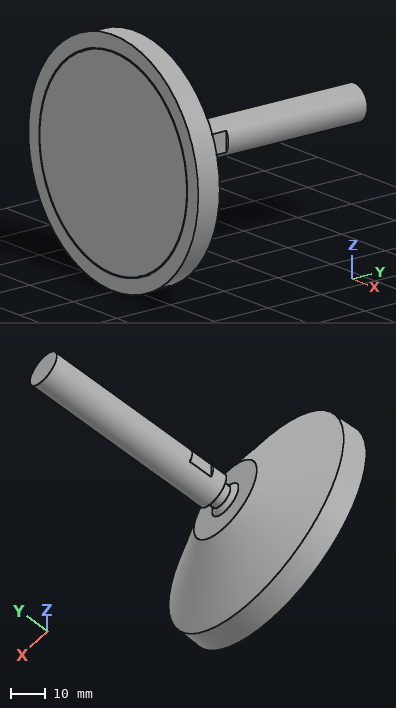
import cadquery as cq

TOTAL_LENGTH = 90.0
BASE_Y = -TOTAL_LENGTH / 2

RIM_DIAMETER = 78.0
RIM_TOP_DIAMETER = 77.2
RIM_HEIGHT = 8.4
FOOT_HEIGHT = 20.2
FOOT_TOP_DIAMETER = 27.7

GROOVE_INNER_DIAMETER = 67.5
GROOVE_OUTER_DIAMETER = 68.0
GROOVE_DEPTH = 1.8

FLARE_DIAMETER = 11.6
NECK_DIAMETER = 7.8
FLARE_TOP = 21.6
SHANK_DIAMETER = 12.0
SHANK_START = 25.0

FLATS_WIDTH = 10.0
FLATS_START = 30.0
FLATS_LENGTH = 8.1


def revolve_about_y(profile):
    """Revolve a closed (radius, height) outline about Y and set it on the base plane."""
    solid = cq.Workplane("XY").polyline(profile).close().revolve(360, (0, 0, 0), (0, 1, 0))
    return solid.translate((0, BASE_Y, 0))


def make_foot():
    """Conical foot with a plain top and a ring groove underneath."""
    foot = revolve_about_y([
        (0, 0),
        (RIM_DIAMETER / 2, 0),
        (RIM_TOP_DIAMETER / 2, RIM_HEIGHT),
        (FOOT_TOP_DIAMETER / 2, FOOT_HEIGHT),
        (0, FOOT_HEIGHT),
    ])
    groove = revolve_about_y([
        (GROOVE_INNER_DIAMETER / 2, 0),
        (GROOVE_OUTER_DIAMETER / 2, 0),
        (GROOVE_OUTER_DIAMETER / 2, GROOVE_DEPTH),
        (GROOVE_INNER_DIAMETER / 2, GROOVE_DEPTH),
    ])
    return foot.cut(groove)


def make_stud():
    """Round stud whose flared end stands on the top of the foot."""
    stud = revolve_about_y([
        (0, FOOT_HEIGHT),
        (FLARE_DIAMETER / 2, FOOT_HEIGHT),
        (NECK_DIAMETER / 2, FLARE_TOP),
        (NECK_DIAMETER / 2, SHANK_START),
        (SHANK_DIAMETER / 2, SHANK_START),
        (SHANK_DIAMETER / 2, TOTAL_LENGTH),
        (0, TOTAL_LENGTH),
    ])
    flats_middle = BASE_Y + FLATS_START + FLATS_LENGTH / 2
    for side in (-1, 1):
        cutter = cq.Workplane("XY").box(SHANK_DIAMETER, FLATS_LENGTH, SHANK_DIAMETER)
        cutter_x = side * (FLATS_WIDTH + SHANK_DIAMETER) / 2
        stud = stud.cut(cutter.translate((cutter_x, flats_middle, 0)))
    return stud


foot = make_foot()
stud = make_stud()

result = cq.Compound.makeCompound([foot.val(), stud.val()])